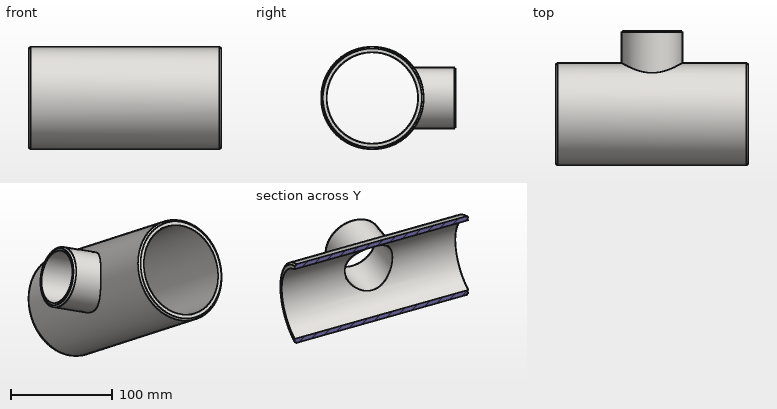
import cadquery as cq

run_length = 190.5
run_diameter = 101.5
run_wall = 5.7

branch_diameter = 60.4
branch_wall = 4.0
overall_depth = 133.4
branch_reach = overall_depth - run_diameter / 2

bevel = 2.0


def run_cylinder(diameter):
    """Cylinder along X over the full length of the run."""
    return cq.Workplane("YZ").circle(diameter / 2).extrude(run_length / 2, both=True)


def branch_cylinder(diameter):
    """Cylinder along +Y from the run axis to the end of the branch."""
    return cq.Workplane("XZ").circle(diameter / 2).extrude(-branch_reach)


run = run_cylinder(run_diameter).faces("<X or >X").edges().chamfer(bevel)
branch = branch_cylinder(branch_diameter).faces(">Y").edges().chamfer(bevel)

run_bore = run_cylinder(run_diameter - 2 * run_wall)
branch_bore = branch_cylinder(branch_diameter - 2 * branch_wall)

result = run.union(branch).cut(run_bore).cut(branch_bore)